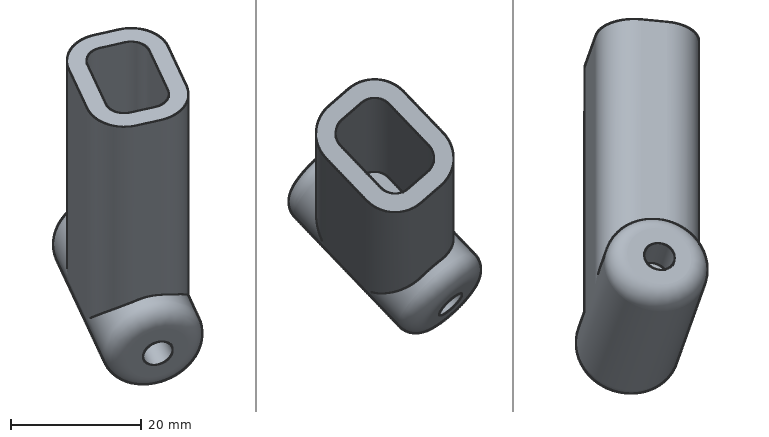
import cadquery as cq

total_height = 53.05
barrel_length = 30.0
barrel_diameter = 16.1
barrel_radius = barrel_diameter / 2
barrel_end_fillet = 3.0

handle_width = 21.1
handle_corner_radius = 6.0
wall = 3.0

pin_hole_diameter = 4.8
pin_hole_depth = 6.0
socket_floor = barrel_diameter


def rounded_prism(width, depth, corner_radius, bottom, top):
    """Upright prism with rounded vertical edges."""
    return (
        cq.Workplane("XY", origin=(0, 0, bottom))
        .rect(width, depth)
        .extrude(top - bottom)
        .edges("|Z")
        .fillet(corner_radius)
    )


def x_cylinder(diameter, start, length):
    """Cylinder along +X on the barrel axis."""
    return (
        cq.Workplane("YZ", origin=(start, 0, barrel_radius))
        .circle(diameter / 2)
        .extrude(length)
    )


barrel = x_cylinder(barrel_diameter, -barrel_length / 2, barrel_length)
barrel = barrel.faces("<X or >X").edges().fillet(barrel_end_fillet)

handle = rounded_prism(
    handle_width, barrel_diameter, handle_corner_radius, barrel_radius, total_height
)

socket = rounded_prism(
    handle_width - 2 * wall,
    barrel_diameter - 2 * wall,
    handle_corner_radius - wall,
    socket_floor,
    total_height,
)

result = barrel.union(handle).cut(socket)

for hole_start in (-barrel_length / 2, barrel_length / 2 - pin_hole_depth):
    result = result.cut(x_cylinder(pin_hole_diameter, hole_start, pin_hole_depth))